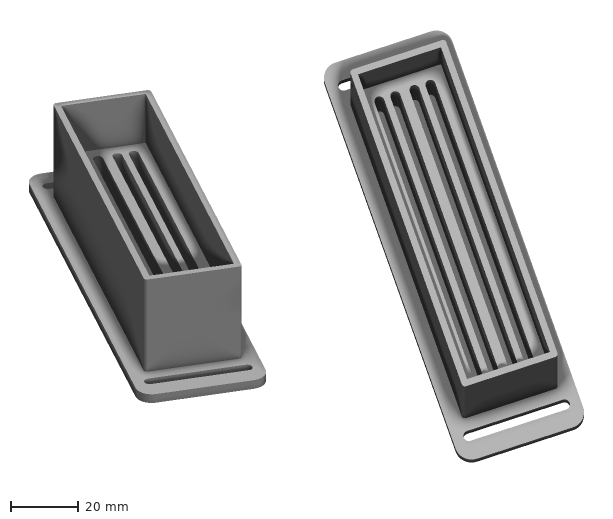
import cadquery as cq

flange_length = 130.0
flange_width = 40.0
flange_thickness = 3.0
flange_corner_radius = 5.0

total_height = 35.0
cavity_length = 100.0
cavity_width = 26.0
wall_thickness = 2.0
box_corner_radius = 1.0
floor_block_height = 15.0
floor_height = flange_thickness + floor_block_height
box_length = cavity_length + 2 * wall_thickness
box_width = cavity_width + 2 * wall_thickness

strap_slot_width = 3.2
strap_slot_length = 33.2
strap_slot_offset = 57.5

groove_width = 3.0
groove_length = 93.0
groove_depth = floor_height - flange_thickness
inner_groove_offset = 3.0
outer_groove_offset = 8.0


def make_flange():
    """Flat plate with rounded corners, its underside at Z = 0."""
    plate = cq.Workplane("XY").rect(flange_length, flange_width).extrude(flange_thickness)
    return plate.edges("|Z").fillet(flange_corner_radius)


def make_box():
    """Solid block of the box, with rounded outer upright edges."""
    block = cq.Workplane("XY").rect(box_length, box_width).extrude(total_height)
    return block.edges("|Z").fillet(box_corner_radius)


def make_cavity():
    """Sharp-cornered cavity from the floor to the open top."""
    cavity_height = total_height - floor_height
    return (
        cq.Workplane("XY")
        .workplane(offset=floor_height)
        .rect(cavity_length, cavity_width)
        .extrude(cavity_height)
    )


def make_strap_slots():
    """One round-ended slot across each end of the flange."""
    centers = [(side * strap_slot_offset, 0) for side in (-1, 1)]
    return (
        cq.Workplane("XY")
        .pushPoints(centers)
        .slot2D(strap_slot_length, strap_slot_width, angle=90)
        .extrude(flange_thickness)
    )


def make_floor_grooves():
    """Four long round-ended grooves, mirrored about the XZ plane."""
    centers = [
        (0, side * offset)
        for side in (-1, 1)
        for offset in (inner_groove_offset, outer_groove_offset)
    ]
    return (
        cq.Workplane("XY")
        .workplane(offset=floor_height - groove_depth)
        .pushPoints(centers)
        .slot2D(groove_length, groove_width)
        .extrude(groove_depth)
    )


result = (
    make_flange()
    .union(make_box())
    .cut(make_cavity())
    .cut(make_strap_slots())
    .cut(make_floor_grooves())
)